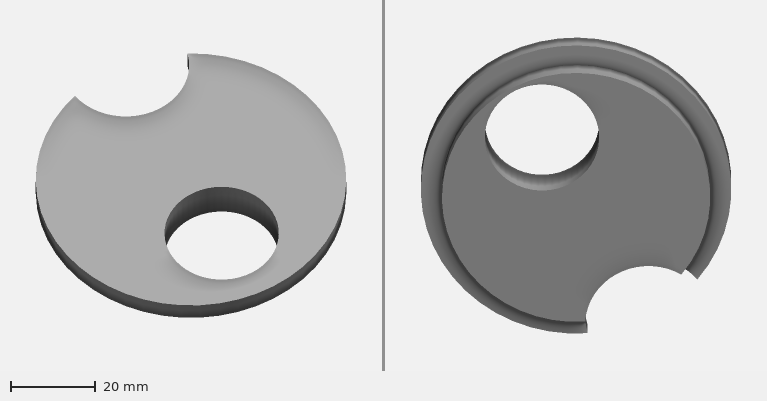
import cadquery as cq

flange_diameter = 73.45
spigot_diameter = 63.5
total_height = 10.0
flange_height = total_height / 2
spigot_height = total_height - flange_height

hole_diameter = 27.0
hole_x = 17.25
notch_radius = 15.0
notch_x = -flange_diameter / 2


def through_cutter(x, radius):
    """Vertical cylinder spanning the full height of the part."""
    return cq.Workplane("XY").center(x, 0).circle(radius).extrude(total_height)


spigot = cq.Workplane("XY").circle(spigot_diameter / 2).extrude(spigot_height)
flange = (
    cq.Workplane("XY")
    .workplane(offset=spigot_height)
    .circle(flange_diameter / 2)
    .extrude(flange_height)
)

result = (
    spigot.union(flange)
    .cut(through_cutter(hole_x, hole_diameter / 2))
    .cut(through_cutter(notch_x, notch_radius))
)